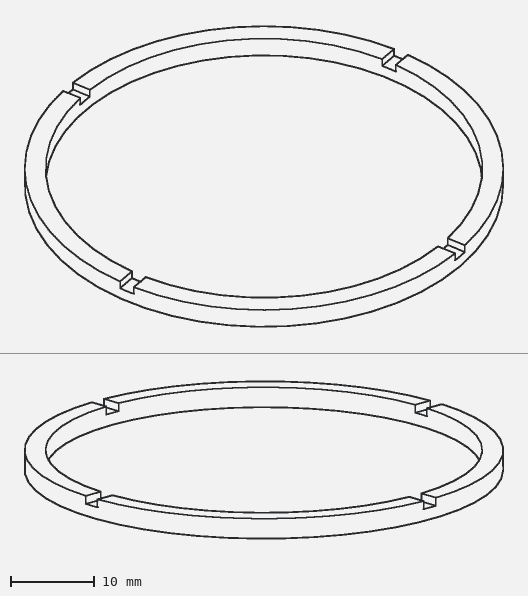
import cadquery as cq

outer_diameter = 57.0
wall_thickness = 2.5
height = 2.5
inner_diameter = outer_diameter - 2 * wall_thickness

notch_width = 2.0
notch_depth = 1.0
notch_directions = (0, 90)


def make_ring():
    """Plain flat ring standing on the XY plane."""
    return cq.Workplane("XY").circle(outer_diameter / 2).circle(inner_diameter / 2).extrude(height)


def make_notch_bar(angle):
    """Bar across the whole ring, cutting two opposite notches."""
    bar_length = outer_diameter + 2 * notch_width
    return (
        cq.Workplane("XY")
        .workplane(offset=height - notch_depth)
        .rect(bar_length, notch_width)
        .extrude(notch_depth)
        .rotate((0, 0, 0), (0, 0, 1), angle)
    )


result = make_ring()
for direction in notch_directions:
    result = result.cut(make_notch_bar(direction))